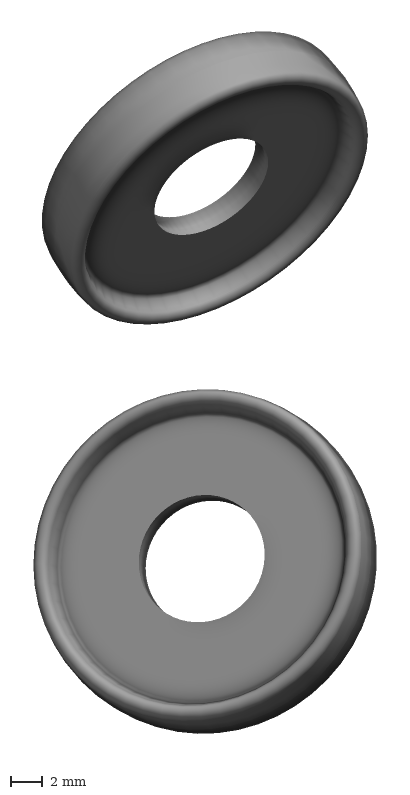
import cadquery as cq
import math

width = 4.5
tread_radius = 10.84
crown_radius = 11.0
rim_round_radius = 0.5
web_thickness = 1.65
bore_radius = 4.1
wall_draft = math.radians(20)
web_fillet_radius = 0.25


def polar(center, radius, angle):
    """Point (x, r) on a circle; the angle is measured from +r towards +X."""
    return (center[0] + radius * math.sin(angle), center[1] + radius * math.cos(angle))


half_width = width / 2
crown_center = (0, tread_radius - crown_radius)
round_x = half_width - rim_round_radius
crown_angle = math.asin(round_x / (crown_radius - rim_round_radius))
round_center = polar(crown_center, crown_radius - rim_round_radius, crown_angle)
tread_edge = polar(round_center, rim_round_radius, crown_angle)

wall_normal = math.pi - wall_draft
wall_top = polar(round_center, rim_round_radius, wall_normal)
web_x = web_thickness / 2
wall_bottom_x = web_x + web_fillet_radius * (1 - math.sin(wall_draft))
wall_bottom_r = wall_top[1] - (wall_top[0] - wall_bottom_x) * math.tan(wall_draft)
wall_bottom = (wall_bottom_x, wall_bottom_r)
fillet_center = (
    web_x + web_fillet_radius,
    wall_bottom_r - web_fillet_radius * math.cos(wall_draft),
)
fillet_middle_angle = -(math.pi / 2 + wall_draft) / 2
fillet_middle = polar(fillet_center, web_fillet_radius, fillet_middle_angle)
web_edge = (web_x, fillet_center[1])


def half_wheel():
    """Half of the wheel on the +X side of its middle plane."""
    profile = (
        cq.Workplane("XY")
        .moveTo(0, bore_radius)
        .lineTo(0, tread_radius)
        .threePointArc(polar(crown_center, crown_radius, crown_angle / 2), tread_edge)
        .threePointArc((half_width, round_center[1]), wall_top)
        .lineTo(*wall_bottom)
        .threePointArc(fillet_middle, web_edge)
        .lineTo(web_x, bore_radius)
        .close()
    )
    return profile.revolve(360, (0, 0, 0), (1, 0, 0))


right_half = half_wheel()
left_half = right_half.mirror("YZ")
result = right_half.union(left_half)